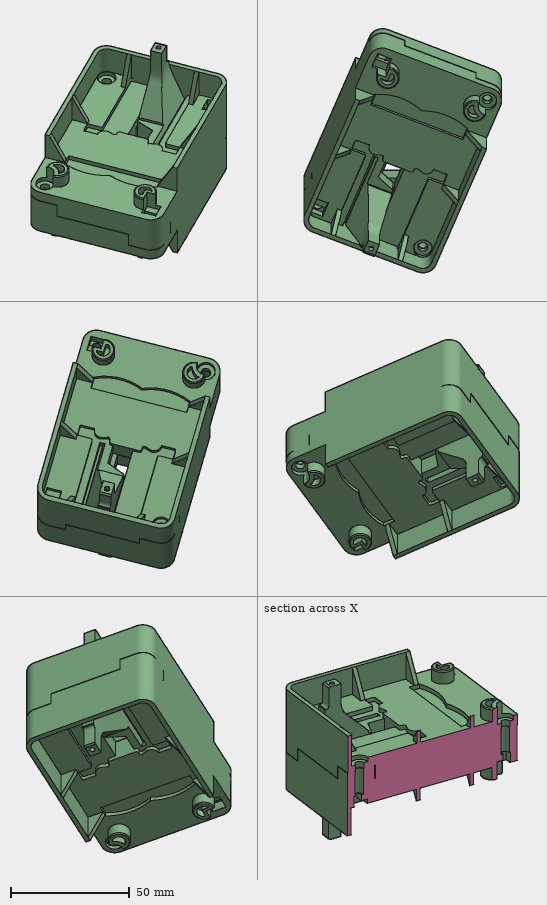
import cadquery as cq


width = 60.0
overall_length = 84.65
overall_height = 73.1
half_stagger = 0.2
length = overall_length - half_stagger
corner_radius = 6.0
wall = 2.0
step = 2.0
rib_thickness = 2.0
deck_z = 11.1
rim_z = 23.95
recess_z = deck_z - step
wall_end_y = -20.65
inner_x = width / 2 - wall
inner_back_y = length / 2 - wall

leg_height = 6.1
leg_x = 16.25
leg_y = 28.5

recess_half_width = 14.3
pad_half_width = 21.0
plateau_y = 5.9
pad_depth = 4.7
recess_fillet = 0.7
lobe_foot_x = 14.7
bow_middle = (13.6, 3.55)
bow_crest = (11.0, 4.4)
dip_start = (8.4, 3.55)
dip_middle = (7.4, 3.7)
dip_end = (7.1, 4.6)
lip_middle = (6.85, 5.6)
lip_end_x = 6.2

scallop_start_y = -16.1
scallop_side_y = -21.25
scallop_low_y = -23.7
scallop_cusp_y = -21.6

slot_left_x = -3.3
slot_right_x = 11.1
slot_floor_z = 5.0
window_right_x = 5.4
window_back_y = 17.2
window_corner_y = 14.0

lever_top_z = overall_height / 2
lever_half_width = 2.5
lever_front_y = 32.25
lever_back_y = 38.35
lever_heel_y = inner_back_y
heel_top_z = 26.2
heel_bevel = 0.3
front_neck_z = 27.7
front_flare_z = 21.0
front_flare_y = 29.3
side_neck_z = 28.45
side_flare_z = 18.6
side_flare_x = 4.65
side_flare_middle = (3.05, 23.45)
front_flare_middle = (31.6, 24.0)
heel_curve_middle = (38.85, 26.6)
heel_curve_top_z = 27.4
side_slope = 0.43
toe_y = 18.45
toe_z = 10.2
base_z = 6.6
tip_bevel_length = 0.9
tip_bevel_height = 0.5
lever_hole_diameter = 2.1
lever_hole_depth = 4.2

screw_x = width / 2 - corner_radius
screw_y = length / 2 - corner_radius
screw_diameter = 4.0
head_diameter = 7.8
nut_width = 6.3
nut_length = 6.4
nut_y = 35.5
ledge_y = 35.4
ledge_depth = step
nut_depth = 5.1
post_x = 19.9
post_y = -32.1
post_diameter = 9.65
post_top_z = 17.2
post_chamfer = 0.5
post_bore_diameter = 5.8
post_bore_depth = 3.8
hook_fillet = 0.7
head_web = 1.95
nut_web = 1.35


def box(x0, x1, y0, y1, z0, z1):
    """Axis-aligned block given by its limits."""
    return cq.Workplane("XY").box(x1 - x0, y1 - y0, z1 - z0, centered=False).translate((x0, y0, z0))


def cylinder(x, y, diameter, z0, z1):
    """Vertical cylinder between two heights."""
    return cq.Workplane("XY", origin=(x, y, z0)).circle(diameter / 2).extrude(z1 - z0)


def rounded_block(block_width, block_length, radius, z0, z1):
    """Centred block with rounded vertical corners."""
    blank = cq.Workplane("XY", origin=(0, 0, z0)).rect(block_width, block_length).extrude(z1 - z0)
    return blank.edges("|Z").fillet(radius)


def make_shell():
    """Flange plate and tray walls, with the corner legs that interlock with the other half."""
    shell = rounded_block(width, length, corner_radius, -leg_height, rim_z)
    cavity = rounded_block(2 * inner_x, 2 * inner_back_y, corner_radius - wall, deck_z, rim_z)
    shell = shell.cut(cavity)
    shell = shell.cut(box(-width, width, -length, wall_end_y, deck_z, rim_z))

    legs = box(leg_x, width, leg_y, length, -leg_height, 0)
    legs = legs.union(box(leg_x, width, -length, -leg_y, -leg_height, 0))
    below_parting = box(-width, width, -length, length, -leg_height, 0).cut(legs)
    notches = legs.rotate((0, 0, 0), (0, 1, 0), 180)
    return shell.cut(below_parting).cut(notches)


def make_ribs():
    """Triangular ribs that brace the side walls and the back wall."""
    ribs = cq.Workplane("XY")
    side_foot_x = pad_half_width
    back_foot_y = inner_back_y - (inner_x - side_foot_x)
    for start_y in (plateau_y, wall_end_y):
        for side in (-1, 1):
            triangle = [(side * inner_x, deck_z), (side * inner_x, rim_z), (side * side_foot_x, deck_z)]
            plane = cq.Workplane("XZ", origin=(0, start_y, 0))
            ribs = ribs.union(plane.polyline(triangle).close().extrude(-rib_thickness))
    for start_x in (recess_half_width, -recess_half_width - rib_thickness):
        triangle = [(inner_back_y, deck_z), (inner_back_y, rim_z), (back_foot_y, deck_z)]
        plane = cq.Workplane("YZ", origin=(start_x, 0, 0))
        ribs = ribs.union(plane.polyline(triangle).close().extrude(rib_thickness))
    return ribs


def plateau_lobe():
    """Right-hand half of the curved edge of the raised floor, as a block to keep."""
    foot_y = plateau_y - pad_depth
    return (
        cq.Workplane("XY", origin=(0, 0, recess_z))
        .moveTo(0, foot_y)
        .lineTo(lobe_foot_x, foot_y)
        .threePointArc(bow_middle, bow_crest)
        .lineTo(*dip_start)
        .threePointArc(dip_middle, dip_end)
        .threePointArc(lip_middle, (lip_end_x, plateau_y))
        .lineTo(0, plateau_y)
        .close()
        .extrude(step)
    )


def make_floor_recess():
    """Shallow T-shaped recess in the tray floor, bounded by the plateau edge."""
    strip = box(-recess_half_width, recess_half_width, plateau_y - pad_depth, inner_back_y, recess_z, deck_z)
    pads = box(-pad_half_width, pad_half_width, plateau_y - pad_depth, plateau_y, recess_z, deck_z)
    recess = strip.edges("|Z and >Y").fillet(recess_fillet).union(pads.edges("|Z").fillet(recess_fillet))
    for side in (-1, 1):
        inside_corner = (side * recess_half_width, plateau_y, (recess_z + deck_z) / 2)
        recess = recess.edges(cq.selectors.NearestToPointSelector(inside_corner)).fillet(recess_fillet)
    lobe = plateau_lobe()
    return recess.cut(lobe).cut(lobe.mirror("YZ"))


def make_scallop_pocket():
    """Shallow pocket with a double-bowed edge reaching into the flange."""
    bow_x = pad_half_width / 2
    return (
        cq.Workplane("XY", origin=(0, 0, recess_z))
        .moveTo(-pad_half_width, scallop_start_y)
        .lineTo(-pad_half_width, scallop_side_y)
        .threePointArc((-bow_x, scallop_low_y), (0, scallop_cusp_y))
        .threePointArc((bow_x, scallop_low_y), (pad_half_width, scallop_side_y))
        .lineTo(pad_half_width, scallop_start_y)
        .close()
        .extrude(step)
    )


def make_window():
    """Five-sided opening through the half in front of the lever."""
    outline = [
        (slot_left_x, plateau_y),
        (window_right_x, plateau_y),
        (window_right_x, window_corner_y),
        (-lever_half_width, window_back_y),
        (slot_left_x, window_back_y),
    ]
    return cq.Workplane("XY").polyline(outline).close().extrude(deck_z)


def make_lever():
    """Lever with a square neck that flares towards +X and -Y into a flat tongue."""
    end_x = side_flare_x + side_slope * (side_flare_z - base_z)
    across = (
        cq.Workplane("XZ", origin=(0, lever_heel_y, 0))
        .moveTo(-lever_half_width, slot_floor_z)
        .lineTo(-lever_half_width, lever_top_z)
        .lineTo(lever_half_width, lever_top_z)
        .lineTo(lever_half_width, side_neck_z)
        .threePointArc(side_flare_middle, (side_flare_x, side_flare_z))
        .lineTo(end_x, base_z)
        .lineTo(end_x, slot_floor_z)
        .close()
        .extrude(lever_heel_y - plateau_y)
    )
    along = (
        cq.Workplane("YZ", origin=(-lever_half_width, 0, 0))
        .moveTo(lever_heel_y, slot_floor_z)
        .lineTo(lever_heel_y, heel_top_z - heel_bevel)
        .lineTo(lever_heel_y - heel_bevel, heel_top_z)
        .threePointArc(heel_curve_middle, (lever_back_y, heel_curve_top_z))
        .lineTo(lever_back_y, lever_top_z - tip_bevel_height)
        .lineTo(lever_back_y - tip_bevel_length, lever_top_z)
        .lineTo(lever_front_y, lever_top_z)
        .lineTo(lever_front_y, front_neck_z)
        .threePointArc(front_flare_middle, (front_flare_y, front_flare_z))
        .lineTo(toe_y, toe_z)
        .lineTo(toe_y, recess_z)
        .lineTo(plateau_y, recess_z)
        .lineTo(plateau_y, slot_floor_z)
        .close()
        .extrude(slot_right_x + lever_half_width)
    )
    lever = across.intersect(along)
    hole_y = (lever_front_y + lever_back_y) / 2
    hole = cylinder(0, hole_y, lever_hole_diameter, lever_top_z - lever_hole_depth, lever_top_z)
    return lever.cut(hole)


def make_posts():
    """Pair of short chamfered posts on the flange."""
    posts = cq.Workplane("XY")
    for side in (-1, 1):
        post = cylinder(side * post_x, post_y, post_diameter, recess_z, post_top_z)
        posts = posts.union(post.faces(">Z").chamfer(post_chamfer))
    return posts


def make_post_bores():
    """Blind bores in the posts, trimmed to leave a web beside the screw head and the nut."""
    bottom_z = post_top_z - post_bore_depth
    head_keep = cylinder(-screw_x, -screw_y, head_diameter + 2 * head_web, bottom_z, post_top_z)
    nut_keep_x = screw_x - nut_width / 2 - nut_web
    nut_keep_y = -nut_y + nut_length / 2 + nut_web
    nut_keep = box(nut_keep_x, width, -length, nut_keep_y, bottom_z, post_top_z)
    crescent = cylinder(-post_x, post_y, post_bore_diameter, bottom_z, post_top_z).cut(head_keep)
    hook = cylinder(post_x, post_y, post_bore_diameter, bottom_z, post_top_z).cut(nut_keep)
    hook_tip = (nut_keep_x, post_y - post_bore_diameter / 2, (bottom_z + post_top_z) / 2)
    tip_edge = cq.selectors.NearestToPointSelector(hook_tip)
    hook = hook.edges("|Z").edges(tip_edge).fillet(hook_fillet)
    return crescent.union(hook)


def nut_box(inner_y, outer_y, z0, z1):
    """Block as wide as a nut, centred on the +X screw line."""
    near_y, far_y = sorted((inner_y, outer_y))
    return box(screw_x - nut_width / 2, screw_x + nut_width / 2, near_y, far_y, z0, z1)


def make_screw_cuts():
    """Counterbored screw holes on the -X side and stepped nut pockets on the +X side."""
    cuts = cq.Workplane("XY")
    for end, open_z in ((-1, post_top_z), (1, deck_z)):
        y = end * screw_y
        cuts = cuts.union(cylinder(-screw_x, y, screw_diameter, 0, deck_z))
        cuts = cuts.union(cylinder(-screw_x, y, head_diameter, recess_z, open_z))

        cuts = cuts.union(cylinder(screw_x, y, screw_diameter, -leg_height, deck_z - nut_depth))
        outer_y = end * (nut_y + nut_length / 2)
        inner_y = end * (nut_y - nut_length / 2)
        step_y = end * ledge_y
        cuts = cuts.union(nut_box(inner_y, outer_y, deck_z - ledge_depth, open_z))
        cuts = cuts.union(nut_box(step_y, outer_y, deck_z - nut_depth, deck_z))
    return cuts


def make_half():
    """One complete half shell with its lever."""
    slot = box(slot_left_x, slot_right_x, plateau_y, inner_back_y, slot_floor_z, deck_z)
    half = make_shell().union(make_ribs())
    half = half.cut(make_floor_recess()).cut(make_scallop_pocket()).cut(slot)
    half = half.union(make_lever()).cut(make_window())
    half = half.union(make_posts()).cut(make_post_bores())
    return half.cut(make_screw_cuts())


upper = make_half()
lower = upper.rotate((0, 0, 0), (0, 1, 0), 180)
result = upper.translate((0, -half_stagger / 2, 0)).union(lower.translate((0, half_stagger / 2, 0)))